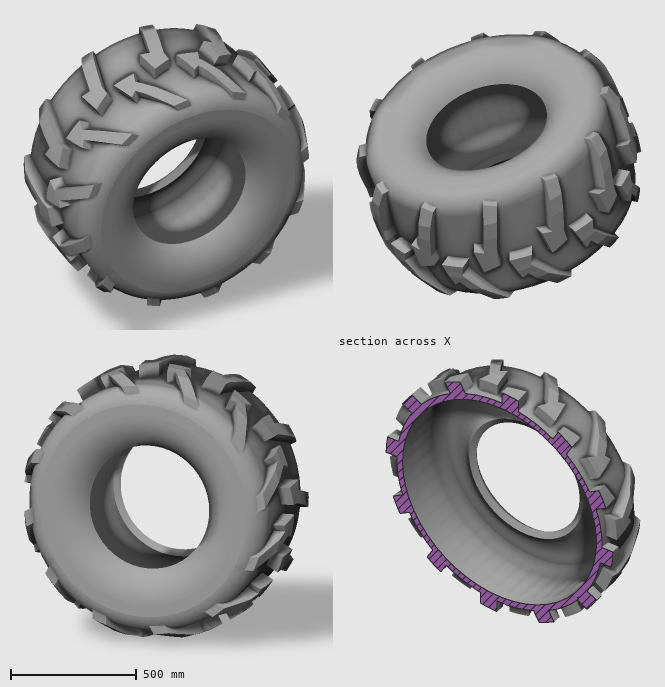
import cadquery as cq
import math

width = 558.0
crown_diameter = 1000.0
cavity_diameter = 940.0
sidewall_outer_diameter = 865.0
sidewall_inner_diameter = 770.0
bore_diameter = 501.0
crown_half_width = 200.0
lip_half_width = 201.0

side = width / 2
crown_radius = crown_diameter / 2
sidewall_outer = sidewall_outer_diameter / 2
sidewall_inner = sidewall_inner_diameter / 2
bore_radius = bore_diameter / 2
wall = (crown_diameter - cavity_diameter) / 2

shoulder_run = side - crown_half_width
shoulder_drop = crown_radius - sidewall_outer
shoulder_radius = (shoulder_run**2 + shoulder_drop**2) / (2 * shoulder_drop)

bead_run = side - lip_half_width
bead_drop = sidewall_inner - bore_radius
bead_radius = (bead_run**2 + bead_drop**2) / (2 * bead_run)

lugs_per_row = 12
lug_root_radius = 398.0
tread_radius = 553.0

left_lug_outline = [
    (-238.0, 54.0),
    (-252.0, 0),
    (-34.0, -59.0),
    (-46.0, -97.0),
    (67.0, -86.0),
    (41.0, -11.0),
    (-7.0, -11.0),
]
right_lug_outline = [
    (34.0, 120.0),
    (29.0, 29.0),
    (139.0, 54.0),
    (120.0, 81.0),
    (262.0, 162.0),
    (262.0, 220.0),
    (80.0, 104.0),
]

left_lug_top = [
    (67.0, tread_radius),
    (-104.0, tread_radius),
    (-176.0, 546.0),
    (-233.0, 522.0),
    (-252.0, 513.0),
]
right_lug_top = [
    (29.0, tread_radius),
    (94.0, tread_radius),
    (162.0, 545.0),
    (220.0, 522.0),
    (262.0, 505.0),
]


def revolve_about_x(profile):
    """Turn a closed (x, radius) profile around the X axis."""
    return profile.revolve(360, (0, 0, 0), (1, 0, 0))


def make_carcass():
    """Outer form of the tyre, still solid between the crown and the bore."""
    profile = (
        cq.Workplane("XY")
        .moveTo(-lip_half_width, bore_radius)
        .lineTo(lip_half_width, bore_radius)
        .radiusArc((side, sidewall_inner), -bead_radius)
        .lineTo(side, sidewall_outer)
        .radiusArc((crown_half_width, crown_radius), -shoulder_radius)
        .lineTo(-crown_half_width, crown_radius)
        .radiusArc((-side, sidewall_outer), -shoulder_radius)
        .lineTo(-side, sidewall_inner)
        .radiusArc((-lip_half_width, bore_radius), -bead_radius)
        .close()
    )
    return revolve_about_x(profile)


def make_cavity():
    """Space inside the tyre, one wall thickness within the outer form and open at the bore."""
    cavity_radius = cavity_diameter / 2
    cavity_side = side - wall
    inner_shoulder_radius = shoulder_radius - wall
    inner_shoulder_run = cavity_side - crown_half_width
    shoulder_center_radius = crown_radius - shoulder_radius
    cavity_sidewall_outer = shoulder_center_radius + math.sqrt(
        inner_shoulder_radius**2 - inner_shoulder_run**2
    )
    inner_bead_radius = bead_radius - wall
    bead_center_x = side - bead_radius
    shrink = inner_bead_radius / bead_radius
    lip_inner_x = bead_center_x + (lip_half_width - bead_center_x) * shrink
    lip_inner_radius = sidewall_inner - bead_drop * shrink
    profile = (
        cq.Workplane("XY")
        .moveTo(-lip_half_width, 0)
        .lineTo(lip_half_width, 0)
        .lineTo(lip_half_width, bore_radius)
        .lineTo(lip_inner_x, lip_inner_radius)
        .radiusArc((cavity_side, sidewall_inner), -inner_bead_radius)
        .lineTo(cavity_side, cavity_sidewall_outer)
        .radiusArc((crown_half_width, cavity_radius), -inner_shoulder_radius)
        .lineTo(-crown_half_width, cavity_radius)
        .radiusArc((-cavity_side, cavity_sidewall_outer), -inner_shoulder_radius)
        .lineTo(-cavity_side, sidewall_inner)
        .radiusArc((-lip_inner_x, lip_inner_radius), -inner_bead_radius)
        .lineTo(-lip_half_width, bore_radius)
        .close()
    )
    return revolve_about_x(profile)


def make_lug(outline, top):
    """Straight block standing on the -Y side, trimmed to the turned top of its row."""
    block = (
        cq.Workplane("XZ", origin=(0, -lug_root_radius, 0))
        .polyline(outline)
        .close()
        .extrude(tread_radius - lug_root_radius)
    )
    inner_end = (top[0][0], 0)
    outer_end = (top[-1][0], 0)
    envelope = revolve_about_x(cq.Workplane("XY").polyline([inner_end, *top, outer_end]).close())
    return block.intersect(envelope)


result = make_carcass()
for outline, top in ((left_lug_outline, left_lug_top), (right_lug_outline, right_lug_top)):
    lug = make_lug(outline, top)
    for index in range(lugs_per_row):
        angle = index * 360 / lugs_per_row
        result = result.union(lug.rotate((0, 0, 0), (1, 0, 0), angle))
result = result.cut(make_cavity())